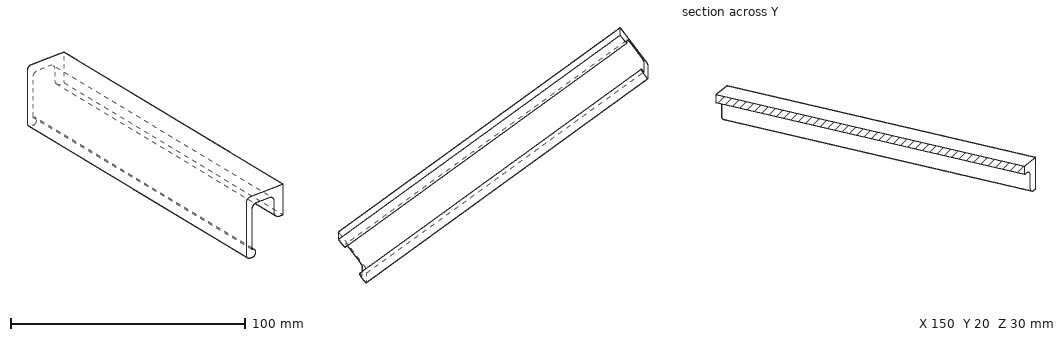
import cadquery as cq

length = 150.0
depth = 20.0
height = 30.0

web_thickness = 4.0
wall_thickness = 3.0
leg_thickness = 5.0
leg_height = 15.0

top_radius = 2.0
foot_radius = 2.0
cavity_radius = 2.5
leg_tip_radius = 3.0

bead_depth = 5.0
bead_radius = 2.0


def bar(y_start, y_end, z_start, z_end):
    """Full-length bar spanning the given Y and Z ranges, centred on X."""
    box = cq.Workplane("XY").box(length, y_end - y_start, z_end - z_start, centered=(True, False, False))
    return box.translate((0, y_start, z_start))


def make_envelope():
    """Solid bar with its two outer front edges rounded."""
    envelope = bar(0, depth, 0, height)
    envelope = envelope.edges("|X and <Y and >Z").fillet(top_radius)
    return envelope.edges("|X and <Y and <Z").fillet(foot_radius)


def make_cavity():
    """Space under the web, between the front wall and the rear leg."""
    cavity = bar(wall_thickness, depth - leg_thickness, 0, height - web_thickness)
    return cavity.edges("|X and >Z").fillet(cavity_radius)


def make_space_below_leg():
    """Space that ends the rear leg short of the front wall's foot."""
    return bar(depth - leg_thickness, depth, 0, height - leg_height)


def round_leg_tip(channel):
    """Round the bottom edge of the rear leg that faces the cavity."""
    tip = (0, depth - leg_thickness, height - leg_height)
    return channel.edges(cq.selectors.NearestToPointSelector(tip)).fillet(leg_tip_radius)


def make_bead():
    """Full-length rod resting at the bottom level of the front wall."""
    rod = cq.Workplane("YZ").center(bead_depth - bead_radius, bead_radius).circle(bead_radius)
    return rod.extrude(length / 2, both=True)


channel = make_envelope().cut(make_cavity()).cut(make_space_below_leg())
result = round_leg_tip(channel).union(make_bead())